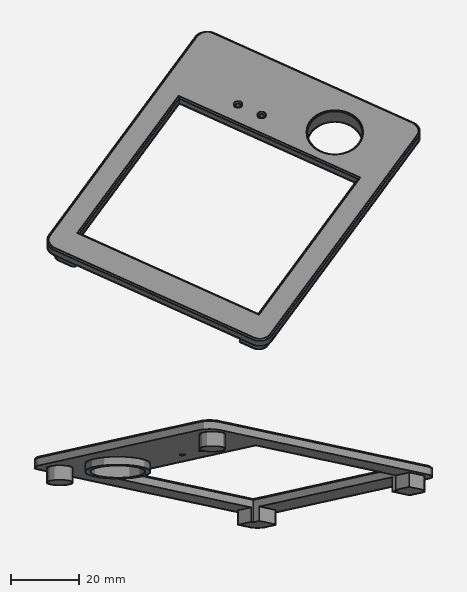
import cadquery as cq

PLATE_X = 75.2
PLATE_Y = 93.8
PLATE_T = 2.8
CORNER_RADIUS = 4.0
EDGE_CHAMFER = 0.5

WINDOW_X = 61.25
WINDOW_Y = 59.3
WINDOW_BOTTOM_MARGIN = 8.6

OPENING_X = 15.8
OPENING_Y = 32.0
OPENING_DIAMETER = 16.0
OPENING_CHAMFER = 0.3
COLLAR_DIAMETER = 19.0
COLLAR_DEPTH = 2.3

SMALL_HOLE_FIRST_X = -14.0
SMALL_HOLE_SPACING = 8.0
SMALL_HOLE_Y = 26.9
SMALL_HOLE_DIAMETER = 1.6

FOOT_DEPTH = 4.3
FOOT_SIZE = 8.1
FOOT_INSET = 1.9
FOOT_OUTER_RADIUS = 3.0
FOOT_INNER_RADIUS = 0.8
ROUND_FOOT_DIAMETER = 7.6
ROUND_FOOT_INSET_X = 5.8
ROUND_FOOT_INSET_Y = 6.9


def make_plate():
    plate = cq.Workplane("XY").box(PLATE_X, PLATE_Y, PLATE_T, centered=(True, True, False))
    plate = plate.edges("|Z").fillet(CORNER_RADIUS)
    return plate.faces(">Z").edges().chamfer(EDGE_CHAMFER)


def make_window():
    """Window cutter, flared at the top, reaching down past the feet."""
    center_y = -PLATE_Y / 2 + WINDOW_BOTTOM_MARGIN + WINDOW_Y / 2
    opening = (
        cq.Workplane("XY", origin=(0, center_y, -FOOT_DEPTH))
        .rect(WINDOW_X - 2 * EDGE_CHAMFER, WINDOW_Y - 2 * EDGE_CHAMFER)
        .extrude(FOOT_DEPTH + PLATE_T)
    )
    flare = (
        cq.Workplane("XY", origin=(0, center_y, PLATE_T - EDGE_CHAMFER))
        .rect(WINDOW_X - 2 * EDGE_CHAMFER, WINDOW_Y - 2 * EDGE_CHAMFER)
        .workplane(offset=EDGE_CHAMFER)
        .rect(WINDOW_X, WINDOW_Y)
        .loft(ruled=True)
    )
    return opening.union(flare)


def make_round_cutter(x, y, diameter, chamfer, bottom):
    """Round through-hole from Z = bottom, countersunk at the plate top."""
    radius = diameter / 2
    profile = (
        cq.Workplane("XZ")
        .moveTo(0, bottom)
        .lineTo(radius, bottom)
        .lineTo(radius, PLATE_T - chamfer)
        .lineTo(radius + chamfer, PLATE_T)
        .lineTo(0, PLATE_T)
        .close()
    )
    return profile.revolve(360, (0, 0, 0), (0, 1, 0)).translate((x, y, 0))


def make_cylinder(x, y, diameter, depth):
    """Cylinder hanging from the plate underside."""
    return cq.Workplane("XY").center(x, y).circle(diameter / 2).extrude(-depth)


def make_left_front_foot():
    """Square foot with a large round on the outer corner and a small one beside it."""
    center_x = -PLATE_X / 2 + FOOT_INSET + FOOT_SIZE / 2
    center_y = -PLATE_Y / 2 + FOOT_INSET + FOOT_SIZE / 2
    foot = cq.Workplane("XY").rect(FOOT_SIZE, FOOT_SIZE).extrude(-FOOT_DEPTH)
    foot = foot.edges("|Z").edges("<X and <Y").fillet(FOOT_OUTER_RADIUS)
    foot = foot.edges("|Z").edges(">X and <Y").fillet(FOOT_INNER_RADIUS)
    return foot.translate((center_x, center_y, 0))


result = make_plate()

front_foot = make_left_front_foot()
result = result.union(front_foot).union(front_foot.mirror("YZ"))
for side in (-1, 1):
    foot_x = side * (PLATE_X / 2 - ROUND_FOOT_INSET_X)
    foot_y = PLATE_Y / 2 - ROUND_FOOT_INSET_Y
    result = result.union(make_cylinder(foot_x, foot_y, ROUND_FOOT_DIAMETER, FOOT_DEPTH))

result = result.cut(make_window())

result = result.union(make_cylinder(OPENING_X, OPENING_Y, COLLAR_DIAMETER, COLLAR_DEPTH))
result = result.cut(
    make_round_cutter(OPENING_X, OPENING_Y, OPENING_DIAMETER, OPENING_CHAMFER, -COLLAR_DEPTH)
)
for index in range(2):
    hole_x = SMALL_HOLE_FIRST_X + index * SMALL_HOLE_SPACING
    result = result.cut(
        make_round_cutter(hole_x, SMALL_HOLE_Y, SMALL_HOLE_DIAMETER, EDGE_CHAMFER, 0)
    )